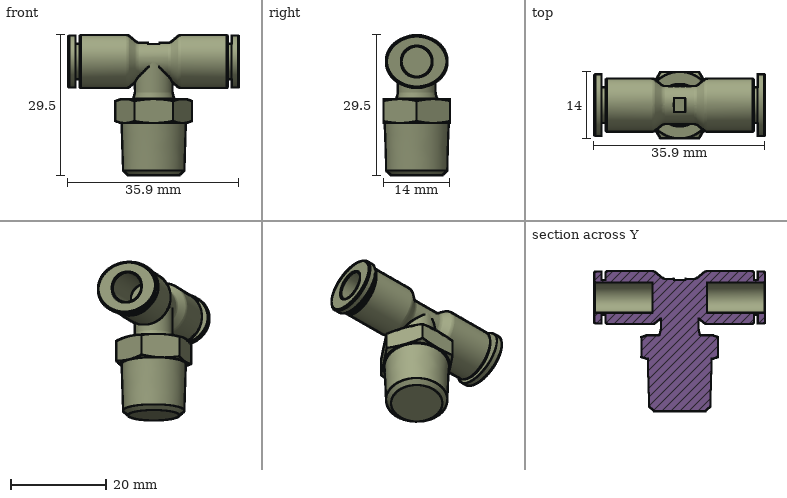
import cadquery as cq
import math

thread_chamfer_top = 1.0
hex_bottom = 11.02
hex_top = 16.0
collar_top = 17.38
axis_height = 23.9

thread_tip_radius = 5.4
thread_low_radius = 6.45
thread_taper = 1 / 32
thread_high_radius = thread_low_radius + thread_taper * (hex_bottom - thread_chamfer_top)

hex_across_flats = 14.0
hex_across_corners = hex_across_flats / math.cos(math.pi / 6)
hex_chamfer_drop = 0.4

stem_radius = 4.0
collar_foot_radius = 4.27
lip_radius = 4.5
lip_height = 0.18

sleeve_radius = 5.6
sleeve_end = 15.6
sleeve_chamfer = 0.32
cone_outer_end = 5.4
cone_inner_end = 3.45
cone_blend_radius = 1.0

run_end = 17.95
head_thickness = 1.58
head_half_width = 6.5
head_half_height = 5.5
head_edge_chamfer = 0.25
shank_radius = 3.77

bore_radius = 3.15
bore_chamfer = 0.18
bore_depth = 12.2

flat_floor_length = 2.3
flat_rim_length = 2.5
flat_depth = 0.3


def make_thread():
    profile = [
        (0, 0),
        (thread_tip_radius, 0),
        (thread_low_radius, thread_chamfer_top),
        (thread_high_radius, hex_bottom),
        (0, hex_bottom),
    ]
    return cq.Workplane("XZ").polyline(profile).close().revolve(360, (0, 0), (0, 1))


def make_hexagon():
    flat_radius = hex_across_flats / 2
    corner_radius = hex_across_corners / 2
    prism = (
        cq.Workplane("XY", origin=(0, 0, hex_bottom))
        .polygon(6, hex_across_corners)
        .extrude(hex_top - hex_bottom)
    )
    envelope = [
        (0, hex_bottom),
        (flat_radius, hex_bottom),
        (corner_radius, hex_bottom + hex_chamfer_drop),
        (corner_radius, hex_top - hex_chamfer_drop),
        (flat_radius, hex_top),
        (0, hex_top),
    ]
    trimmer = cq.Workplane("XZ").polyline(envelope).close().revolve(360, (0, 0), (0, 1))
    return prism.intersect(trimmer)


def make_stem():
    profile = [
        (0, hex_top),
        (lip_radius, hex_top),
        (collar_foot_radius, hex_top + lip_height),
        (stem_radius, collar_top),
        (stem_radius, axis_height),
        (0, axis_height),
    ]
    stem = cq.Workplane("XZ").polyline(profile).close().revolve(360, (0, 0), (0, 1))
    mitre = (
        cq.Workplane("XZ", origin=(0, stem_radius, 0))
        .moveTo(0, axis_height)
        .lineTo(stem_radius, axis_height - stem_radius)
        .lineTo(stem_radius, axis_height)
        .close()
        .extrude(2 * stem_radius)
    )
    return stem.cut(mitre).cut(mitre.mirror("YZ"))


def make_run():
    half_profile = [
        (cone_inner_end, stem_radius),
        (cone_outer_end, sleeve_radius),
        (sleeve_end - sleeve_chamfer, sleeve_radius),
        (sleeve_end, sleeve_radius - sleeve_chamfer),
        (sleeve_end, 0),
    ]
    mirrored = [(-x, r) for x, r in reversed(half_profile)]
    run = (
        cq.Workplane("XZ", origin=(0, 0, axis_height))
        .polyline(mirrored + half_profile)
        .close()
        .revolve(360, (0, 0), (1, 0))
    )
    for side in (-1, 1):
        for distance in (cone_inner_end, cone_outer_end):
            ring = cq.selectors.NearestToPointSelector((side * distance, 0, axis_height))
            run = run.edges(ring).fillet(cone_blend_radius)
    return run


def make_button():
    shank = (
        cq.Workplane("YZ", origin=(sleeve_end, 0, axis_height))
        .circle(shank_radius)
        .extrude(run_end - head_thickness - sleeve_end)
    )
    head = (
        cq.Workplane("YZ", origin=(run_end - head_thickness, 0, axis_height))
        .ellipse(head_half_width, head_half_height)
        .extrude(head_thickness)
        .faces(">X")
        .chamfer(head_edge_chamfer)
    )
    return shank.union(head)


def make_bore():
    profile = [
        (run_end - bore_depth, 0),
        (run_end - bore_depth, bore_radius),
        (run_end - bore_chamfer, bore_radius),
        (run_end, bore_radius + bore_chamfer),
        (run_end, 0),
    ]
    return (
        cq.Workplane("XZ", origin=(0, 0, axis_height))
        .polyline(profile)
        .close()
        .revolve(360, (0, 0), (1, 0))
    )


def make_top_flat():
    rim_height = axis_height + stem_radius
    floor_height = rim_height - flat_depth
    return (
        cq.Workplane("XZ", origin=(0, stem_radius, 0))
        .moveTo(-flat_floor_length / 2, floor_height)
        .lineTo(flat_floor_length / 2, floor_height)
        .lineTo(flat_rim_length / 2, rim_height)
        .lineTo(-flat_rim_length / 2, rim_height)
        .close()
        .extrude(2 * stem_radius)
    )


button = make_button()
bore = make_bore()

result = make_run().union(make_stem()).union(make_hexagon()).union(make_thread())
result = result.union(button).union(button.mirror("YZ"))
result = result.cut(bore).cut(bore.mirror("YZ")).cut(make_top_flat())